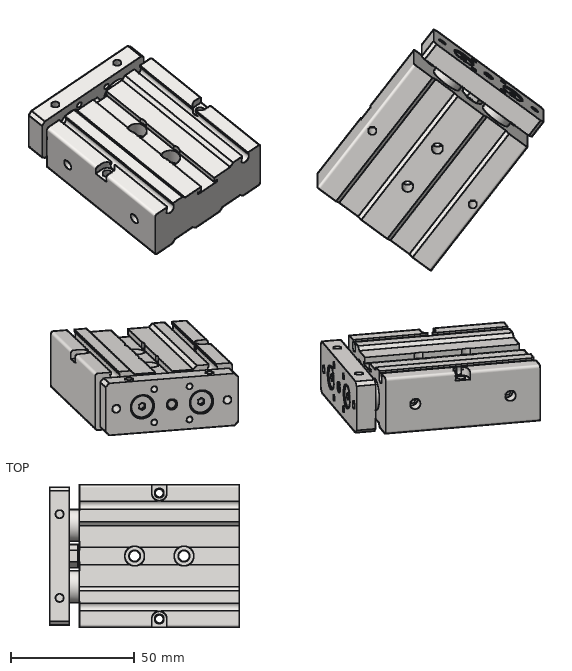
import cadquery as cq
import math

total_length = 77.0

housing_front = 12.0
housing_length = total_length - housing_front
housing_width = 58.0
housing_height = 24.0
housing_edge_radius = 1.2

recess_depth = 1.55
recess_slope = 1.6
top_recess_floor_width = 24.8
bottom_recess_inner_y = 6.6
bottom_recess_outer_y = 19.5

t_slot_neck_width = 7.15
t_slot_lip = 2.5
t_slot_wide_width = 10.5
t_slot_wide_height = 0.85

round_slot_y = 20.6
round_slot_neck_width = 3.1
round_slot_lip = 0.85
round_slot_lip_slope = 0.3
round_slot_width = 4.0
round_slot_wall = 1.4

mounting_x = (34.5, 54.5)
mounting_hole_diameter = 4.5
mounting_bore_diameter = 8.0
mounting_bore_depth = 12.0

pocket_x = 44.5
pocket_y = 25.6
pocket_width = 6.15
pocket_depth = 3.55
pocket_hole_diameter = 3.8
pocket_hole_depth = 12.0
pocket_through_diameter = 3.3
passage_width = 2.0

port_x = (24.5, 64.5)
port_diameter = 4.3
port_depth = 5.0
port_inner_diameter = 2.5
port_inner_depth = 7.7

plate_thickness = 8.0
plate_width = 56.05
plate_height = 22.0
plate_chamfer = 1.55

rod_y = 12.5
rod_diameter = 13.0
rod_recess_diameter = 10.0
rod_recess_floor_diameter = 9.0
rod_recess_depth = 0.5
socket_width = 2.6
socket_depth = 1.55
nut_corner_diameter = 9.55
nut_thickness = 3.5
piston_diameter = 5.0
piston_recess_diameter = 4.5
piston_recess_floor_diameter = 3.5
piston_recess_depth = 0.5

end_hole_y = 23.5
end_hole_diameter = 3.3
small_hole_y = 7.5
small_hole_z = 7.0
small_hole_diameter = 2.5
edge_hole_y = 17.0
edge_hole_diameter = 3.3
edge_hole_depth = 6.6

top_z = housing_height / 2
recess_floor_z = top_z - recess_depth
sides = (-1, 1)
hex_sides = 6


def x_cylinder(diameter, x_start, length, y=0, z=0):
    """Cylinder along +X that starts at x_start."""
    start = cq.Vector(x_start, y, z)
    return cq.Workplane(cq.Solid.makeCylinder(diameter / 2, length, start, cq.Vector(1, 0, 0)))


def z_cylinder(diameter, z_top, depth, x, y):
    """Cylinder that goes down from z_top."""
    start = cq.Vector(x, y, z_top)
    return cq.Workplane(cq.Solid.makeCylinder(diameter / 2, depth, start, cq.Vector(0, 0, -1)))


def y_cylinder(diameter, y_start, depth, x):
    """Cylinder along +Y, at mid height, that starts at y_start."""
    start = cq.Vector(x, y_start, 0)
    return cq.Workplane(cq.Solid.makeCylinder(diameter / 2, depth, start, cq.Vector(0, 1, 0)))


def housing_section():
    """Workplane in the front face of the housing, with local axes Y and Z."""
    return cq.Workplane("YZ", origin=(housing_front, 0, 0))


def top_recess():
    floor = top_recess_floor_width / 2
    rim = floor + recess_slope
    points = [(-rim, top_z), (-floor, recess_floor_z), (floor, recess_floor_z), (rim, top_z)]
    return housing_section().polyline(points).close().extrude(housing_length)


def bottom_recess(side):
    inner, outer = bottom_recess_inner_y, bottom_recess_outer_y
    points = [
        (side * inner, -top_z),
        (side * (inner + recess_slope), -recess_floor_z),
        (side * (outer - recess_slope), -recess_floor_z),
        (side * outer, -top_z),
    ]
    return housing_section().polyline(points).close().extrude(housing_length)


def t_slot():
    lip_z = recess_floor_z - t_slot_lip
    neck = housing_section().center(0, recess_floor_z - t_slot_lip / 2)
    neck = neck.rect(t_slot_neck_width, t_slot_lip).extrude(housing_length)
    wide = housing_section().center(0, lip_z - t_slot_wide_height / 2)
    wide = wide.rect(t_slot_wide_width, t_slot_wide_height).extrude(housing_length)
    return neck.union(wide)


def round_slot(side):
    neck = round_slot_neck_width / 2
    wide = round_slot_width / 2
    lip_z = top_z - round_slot_lip
    wall_z = lip_z - round_slot_lip_slope
    round_z = wall_z - round_slot_wall
    return (
        housing_section().center(side * round_slot_y, 0)
        .moveTo(-neck, top_z)
        .lineTo(-neck, lip_z)
        .lineTo(-wide, wall_z)
        .lineTo(-wide, round_z)
        .threePointArc((0, round_z - wide), (wide, round_z))
        .lineTo(wide, wall_z)
        .lineTo(neck, lip_z)
        .lineTo(neck, top_z)
        .close()
        .extrude(housing_length)
    )


def edge_pocket(side):
    """Round-ended pocket open to the side, its stepped through hole and the passage to the round slot."""
    floor_z = top_z - pocket_depth
    open_length = housing_width / 2 - pocket_y
    pocket = z_cylinder(pocket_width, top_z, pocket_depth, pocket_x, side * pocket_y)
    mouth = cq.Workplane("XY", origin=(pocket_x, side * (pocket_y + open_length / 2), floor_z))
    mouth = mouth.rect(pocket_width, open_length).extrude(pocket_depth)
    hole = z_cylinder(pocket_hole_diameter, top_z, pocket_hole_depth, pocket_x, side * pocket_y)
    through = z_cylinder(pocket_through_diameter, top_z, housing_height, pocket_x, side * pocket_y)
    passage_depth = round_slot_lip + round_slot_lip_slope + round_slot_wall
    passage_length = pocket_y - round_slot_y
    passage_y = side * (pocket_y + round_slot_y) / 2
    passage = cq.Workplane("XY", origin=(pocket_x, passage_y, top_z - passage_depth))
    passage = passage.rect(passage_width, passage_length).extrude(passage_depth)
    return pocket.union(mouth).union(hole).union(through).union(passage)


def mounting_hole(x):
    bore = z_cylinder(mounting_bore_diameter, top_z, mounting_bore_depth, x, 0)
    return bore.union(z_cylinder(mounting_hole_diameter, top_z, housing_height, x, 0))


def port(x):
    side_y = -housing_width / 2
    outer = y_cylinder(port_diameter, side_y, port_depth, x)
    return outer.union(y_cylinder(port_inner_diameter, side_y, port_inner_depth, x))


def make_housing():
    body = housing_section().rect(housing_width, housing_height).extrude(housing_length)
    body = body.edges("|X").fillet(housing_edge_radius)
    body = body.cut(top_recess()).cut(t_slot())
    for side in sides:
        body = body.cut(bottom_recess(side)).cut(round_slot(side)).cut(edge_pocket(side))
    for x in mounting_x:
        body = body.cut(mounting_hole(x))
    for x in port_x:
        body = body.cut(port(x))
    return body


def tapered_recess(mouth_diameter, floor_diameter, depth, y):
    """Conical recess in the outer face of the plate."""
    cone = cq.Solid.makeCone(
        mouth_diameter / 2, floor_diameter / 2, depth, cq.Vector(0, y, 0), cq.Vector(1, 0, 0)
    )
    return cq.Workplane(cone)


def hex_socket(y):
    """Hexagonal socket in the floor of a rod recess, with corners at the top and bottom."""
    corner_diameter = socket_width / math.cos(math.pi / hex_sides)
    socket = cq.Workplane("YZ", origin=(rod_recess_depth, y, 0))
    return socket.transformed(rotate=(0, 0, 90)).polygon(hex_sides, corner_diameter).extrude(socket_depth)


def hex_nut():
    """Nut on the piston rod, with corners at +Y and -Y."""
    nut = cq.Workplane("YZ", origin=(plate_thickness, 0, 0))
    return nut.polygon(hex_sides, nut_corner_diameter).extrude(nut_thickness)


def edge_hole(side):
    """Blind hole that goes down from the top edge of the plate."""
    return z_cylinder(
        edge_hole_diameter, plate_height / 2, edge_hole_depth, plate_thickness / 2, side * edge_hole_y
    )


def make_slider():
    body = cq.Workplane("YZ").rect(plate_width, plate_height).extrude(plate_thickness)
    body = body.edges("|X").chamfer(plate_chamfer)

    rod_length = housing_front - plate_thickness
    body = body.union(hex_nut()).union(x_cylinder(piston_diameter, plate_thickness, rod_length))
    body = body.cut(
        tapered_recess(piston_recess_diameter, piston_recess_floor_diameter, piston_recess_depth, 0)
    )

    for side in sides:
        body = body.union(x_cylinder(rod_diameter, plate_thickness, rod_length, side * rod_y))
        body = body.cut(
            tapered_recess(rod_recess_diameter, rod_recess_floor_diameter, rod_recess_depth, side * rod_y)
        )
        body = body.cut(hex_socket(side * rod_y))
        body = body.cut(x_cylinder(end_hole_diameter, 0, plate_thickness, side * end_hole_y))
        body = body.cut(edge_hole(side))
        for z in (-small_hole_z, small_hole_z):
            body = body.cut(x_cylinder(small_hole_diameter, 0, plate_thickness, side * small_hole_y, z))
    return body


housing = make_housing()
slider = make_slider()

result = cq.Compound.makeCompound([housing.val(), slider.val()])